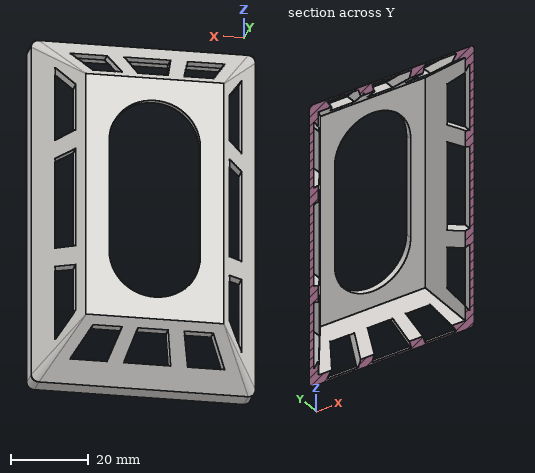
import cadquery as cq

width = 59.0
height = 94.0
depth = 21.0
rim_depth = 6.0
rim_wall = 3.0
corner_radius = 2.0

floor_width = 36.3
floor_height = 66.2
floor_corner_radius = 0.05
floor_thickness = 2.0
cavity_floor_width = 33.1
cavity_floor_height = 63.7
slot_width = 24.0
slot_length = 54.05

window_rim_inset = 5.0
end_window_floor_inset = 11.9
side_window_floor_inset = 9.3

end_middle_half = (6.1, 3.95)
end_outer_near = (10.6, 8.2)
end_outer_far = (20.3, 15.8)
side_middle_half = (12.3, 13.35)
side_outer_near = (17.4, 18.6)
side_outer_far = (37.3, 30.9)


def plane_at(y):
    """Plane with local X along X and local Y along Z, facing -Y."""
    return cq.Workplane("XZ", origin=(0, y, 0))


def frustum(start_size, end_size, start_y, end_y, radii=None):
    """Rectangular frustum along Y, with optional start and end corner radii."""
    start = cq.Sketch().rect(*start_size)
    end = cq.Sketch().rect(*end_size)
    if radii:
        start = start.vertices().fillet(radii[0])
        end = end.vertices().fillet(radii[1])
    start = start.moved(cq.Location(cq.Vector(0, 0, -start_y)))
    end = end.moved(cq.Location(cq.Vector(0, 0, -end_y)))
    return cq.Workplane("XZ").placeSketch(start, end).loft(ruled=True)


def make_body():
    rim = plane_at(0).rect(width, height).extrude(-rim_depth).edges("|Y").fillet(corner_radius)
    taper = frustum(
        (width, height),
        (floor_width, floor_height),
        rim_depth,
        depth,
        (corner_radius, floor_corner_radius),
    )
    return rim.union(taper)


def make_cavity():
    opening_size = (width - 2 * rim_wall, height - 2 * rim_wall)
    floor_size = (cavity_floor_width, cavity_floor_height)
    opening = plane_at(0).rect(*opening_size).extrude(-rim_depth)
    return opening.union(frustum(opening_size, floor_size, rim_depth, depth - floor_thickness))


def make_floor_slot():
    return plane_at(0).slot2D(slot_length, slot_width, 90).extrude(-depth)


def window_outlines(rim_offset, floor_offset, middle_half, outer_near, outer_far):
    """Three trapezoids as (position along wall, distance from center) points."""
    outlines = []
    spans = (
        ((-middle_half[0], -middle_half[1]), middle_half),
        (outer_near, outer_far),
        ((-outer_near[0], -outer_near[1]), (-outer_far[0], -outer_far[1])),
    )
    for first, last in spans:
        outlines.append([
            (first[0], rim_offset),
            (last[0], rim_offset),
            (last[1], floor_offset),
            (first[1], floor_offset),
        ])
    return outlines


def cut_windows(body):
    end_outlines = window_outlines(
        height / 2 - window_rim_inset,
        height / 2 - end_window_floor_inset,
        end_middle_half,
        end_outer_near,
        end_outer_far,
    )
    side_outlines = window_outlines(
        width / 2 - window_rim_inset,
        width / 2 - side_window_floor_inset,
        side_middle_half,
        side_outer_near,
        side_outer_far,
    )
    for side in (-1, 1):
        for outline in end_outlines:
            points = [(along, side * across) for along, across in outline]
            body = body.cut(plane_at(0).polyline(points).close().extrude(-depth))
        for outline in side_outlines:
            points = [(side * across, along) for along, across in outline]
            body = body.cut(plane_at(0).polyline(points).close().extrude(-depth))
    return body


tray = make_body().cut(make_cavity()).cut(make_floor_slot())
result = cut_windows(tray)